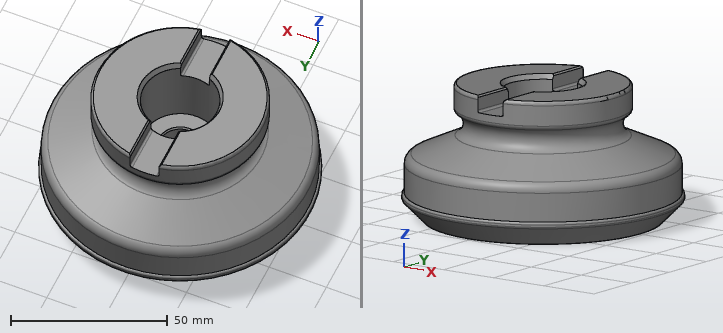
import cadquery as cq
import math

total_height = 44.45
body_radius = 88.91 / 2
flange_step = 0.79
flange_radius = body_radius + flange_step
head_radius = 57.15 / 2
bottom_radius = 38.5

flange_top = 8.6
shoulder_tangent_height = 18.05
shoulder_fillet = 3.55
cone_angle = math.radians(23.2)

neck_radius = 25.6
neck_center_height = 31.3
head_lower_fillet = 1.7
head_top_round = 1.46
head_top_round_height = 1.3

bore_diameter = 25.4
bore_depth = 25.4
bore_chamfer = 1.05
bore_chamfer_height = 1.65
hole_diameter = 13.69
hole_chamfer = 0.5

slot_width = 10.1
slot_depth = 5.5
slot_floor_fillet = 0.8
slot_edge_chamfer = 0.55


def polar(center, radius, angle):
    """Point at the given angle (radians) on a circle in the profile plane."""
    return (center[0] + radius * math.cos(angle), center[1] + radius * math.sin(angle))


def make_body():
    """Solid of revolution: flange, body, cone, grooved neck and head."""
    quarter_turn = math.pi / 2
    cone_normal = quarter_turn - cone_angle

    lower_round_angle = -quarter_turn / 2
    lower_round_drop = flange_step * math.tan(quarter_turn / 4)
    lower_round_center = (body_radius, flange_radius - bottom_radius + lower_round_drop)
    upper_round_center = (body_radius, flange_top - flange_step)

    shoulder_center = (body_radius - shoulder_fillet, shoulder_tangent_height)
    cone_bottom = polar(shoulder_center, shoulder_fillet, cone_normal)

    cone_rise = neck_center_height - cone_bottom[1]
    cone_run = cone_bottom[0] - neck_radius
    groove_reach = cone_rise * math.cos(cone_angle) - cone_run * math.sin(cone_angle)
    neck_groove = groove_reach / (1 - math.sin(cone_angle))
    neck_center = (neck_radius + neck_groove, neck_center_height)

    head_fillet_center_radius = head_radius - head_lower_fillet
    center_offset = neck_center[0] - head_fillet_center_radius
    center_rise = math.sqrt((neck_groove + head_lower_fillet) ** 2 - center_offset ** 2)
    head_fillet_center = (head_fillet_center_radius, neck_center_height + center_rise)
    head_fillet_angle = -math.atan2(center_rise, center_offset)

    top_round_center = (head_radius - head_top_round, total_height - head_top_round_height)
    top_round_angle = math.asin(head_top_round_height / head_top_round)

    profile = (
        cq.Workplane("XZ")
        .lineTo(bottom_radius, 0)
        .lineTo(*polar(lower_round_center, flange_step, lower_round_angle))
        .threePointArc(
            polar(lower_round_center, flange_step, lower_round_angle / 2),
            polar(lower_round_center, flange_step, 0),
        )
        .lineTo(*polar(upper_round_center, flange_step, 0))
        .threePointArc(
            polar(upper_round_center, flange_step, quarter_turn / 2),
            polar(upper_round_center, flange_step, quarter_turn),
        )
        .lineTo(body_radius, shoulder_tangent_height)
        .threePointArc(polar(shoulder_center, shoulder_fillet, cone_normal / 2), cone_bottom)
        .lineTo(*polar(neck_center, neck_groove, cone_normal + math.pi))
        .threePointArc(
            polar(neck_center, neck_groove, math.pi),
            polar(head_fillet_center, head_lower_fillet, head_fillet_angle),
        )
        .threePointArc(
            polar(head_fillet_center, head_lower_fillet, head_fillet_angle / 2),
            polar(head_fillet_center, head_lower_fillet, 0),
        )
        .lineTo(head_radius, top_round_center[1])
        .threePointArc(
            polar(top_round_center, head_top_round, top_round_angle / 2),
            polar(top_round_center, head_top_round, top_round_angle),
        )
        .lineTo(0, total_height)
        .close()
    )
    return profile.revolve(360, (0, 0, 0), (0, 1, 0))


def make_central_hole():
    """Cutter for the chamfered bore and the smaller through hole below it."""
    bore_radius = bore_diameter / 2
    hole_radius = hole_diameter / 2
    bore_floor = total_height - bore_depth
    profile = (
        cq.Workplane("XZ")
        .lineTo(hole_radius, 0)
        .lineTo(hole_radius, bore_floor - hole_chamfer)
        .lineTo(hole_radius + hole_chamfer, bore_floor)
        .lineTo(bore_radius, bore_floor)
        .lineTo(bore_radius, total_height - bore_chamfer_height)
        .lineTo(bore_radius + bore_chamfer, total_height)
        .lineTo(0, total_height)
        .close()
    )
    return profile.revolve(360, (0, 0, 0), (0, 1, 0))


def make_slot():
    """Cutter for the drive slot along Y, with rounded floor corners and chamfered top edges."""
    half_width = slot_width / 2
    mouth_half_width = half_width + slot_edge_chamfer
    floor = total_height - slot_depth
    chamfer_start = total_height - slot_edge_chamfer
    profile = (
        cq.Workplane("XZ")
        .moveTo(-half_width, floor)
        .lineTo(half_width, floor)
        .lineTo(half_width, chamfer_start)
        .lineTo(mouth_half_width, total_height)
        .lineTo(-mouth_half_width, total_height)
        .lineTo(-half_width, chamfer_start)
        .close()
    )
    slot = profile.extrude(head_radius, both=True)
    return slot.faces("<Z").edges("|Y").fillet(slot_floor_fillet)


result = make_body().cut(make_central_hole()).cut(make_slot())